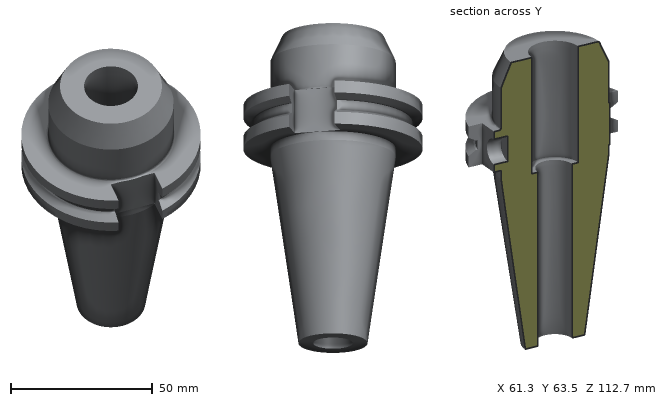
import cadquery as cq
import math

total_height = 112.7
taper_length = 68.4
flange_bottom = taper_length + 3.2
flange_thickness = 15.9
flange_top = flange_bottom + flange_thickness
flange_middle = flange_bottom + flange_thickness / 2
nose_cone_height = 9.0

body_diameter = 44.4
flange_diameter = 63.5
nose_diameter = 36.1
taper_ratio = 7 / 24
tip_diameter = body_diameter - taper_ratio * taper_length
nose_root_fillet = 0.7

groove_root_diameter = 56.2
groove_mouth_width = 7.1
groove_root_width = 3.7
groove_flank_angle = 30.0

slot_width = 16.5
left_floor_distance = 25.0
right_floor_distance = 22.5

tool_bore_diameter = 19.0
tool_bore_depth = 45.1
through_bore_diameter = 14.0
dimple_diameter = 9.7
dimple_depth = 5.6


def make_turned_body():
    """Taper, flange and nose as one revolved profile."""
    body_radius = body_diameter / 2
    flange_radius = flange_diameter / 2
    outline = [
        (0, 0),
        (tip_diameter / 2, 0),
        (body_radius, taper_length),
        (body_radius, flange_bottom),
        (flange_radius, flange_bottom),
        (flange_radius, flange_top),
        (body_radius + nose_root_fillet, flange_top),
    ]
    profile = (
        cq.Workplane("XZ")
        .polyline(outline)
        .radiusArc((body_radius, flange_top + nose_root_fillet), nose_root_fillet)
        .lineTo(body_radius, total_height - nose_cone_height)
        .lineTo(nose_diameter / 2, total_height)
        .lineTo(0, total_height)
        .close()
    )
    return profile.revolve(360, (0, 0, 0), (0, 1, 0))


def make_groove():
    """Ring that cuts the gripper groove: sloping flanks down to a straight-walled root."""
    root_radius = groove_root_diameter / 2
    mouth_radius = flange_diameter / 2
    mouth_half = groove_mouth_width / 2
    root_half = groove_root_width / 2
    flank_depth = (mouth_half - root_half) / math.tan(math.radians(groove_flank_angle))
    flank_end_radius = mouth_radius - flank_depth
    outline = [
        (mouth_radius, flange_middle - mouth_half),
        (flank_end_radius, flange_middle - root_half),
        (root_radius, flange_middle - root_half),
        (root_radius, flange_middle + root_half),
        (flank_end_radius, flange_middle + root_half),
        (mouth_radius, flange_middle + mouth_half),
    ]
    return cq.Workplane("XZ").polyline(outline).close().revolve(360, (0, 0, 0), (0, 1, 0))


def make_drive_slot(floor_distance, side):
    """Block that cuts a drive slot on the +X (side = 1) or -X (side = -1) side."""
    block_length = flange_diameter / 2 - floor_distance
    return cq.Workplane("XY").box(block_length, slot_width, flange_thickness).translate(
        (side * (floor_distance + block_length / 2), 0, flange_middle)
    )


def make_bores():
    """Tool bore from the nose, continued by a narrower bore through the taper."""
    through_bore = cq.Workplane("XY").circle(through_bore_diameter / 2).extrude(total_height)
    tool_bore = (
        cq.Workplane("XY", origin=(0, 0, total_height))
        .circle(tool_bore_diameter / 2)
        .extrude(-tool_bore_depth)
    )
    return through_bore.union(tool_bore)


def make_dimple():
    """Flat-bottomed blind hole in the floor of the -X drive slot."""
    return (
        cq.Workplane("YZ", origin=(-left_floor_distance, 0, flange_middle))
        .circle(dimple_diameter / 2)
        .extrude(dimple_depth)
    )


result = (
    make_turned_body()
    .cut(make_groove())
    .cut(make_drive_slot(left_floor_distance, -1))
    .cut(make_drive_slot(right_floor_distance, 1))
    .cut(make_bores())
    .cut(make_dimple())
)